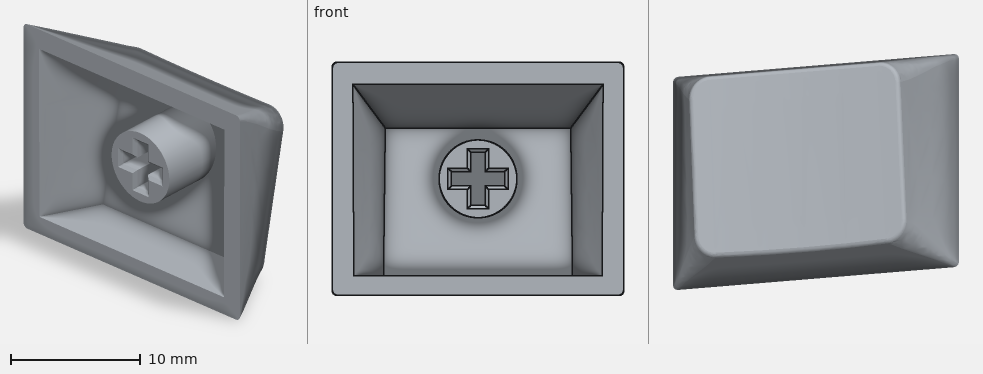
import cadquery as cq
import math

WIDTH = 22.5
HEIGHT = 18.0
WALL = 1.5

RIM_CORNER_RADIUS = 0.4
TOP_CORNER_RADIUS = 1.69
TOP_HALF_WIDTH = 8.21
TOP_UPPER_Z = 4.8
TOP_UPPER_Y = 8.85
TOP_SLOPE = 0.21
SECTION_COUNT = 5
DISH_RADIUS = 68.85
DISH_CENTRE_Y = 7.27
EDGE_FILLET = 0.34

OPENING_LOWER_HALF_WIDTH = 9.58
OPENING_UPPER_HALF_WIDTH = 9.65
FLOOR_LOWER_HALF_WIDTH = 7.3
FLOOR_UPPER_HALF_WIDTH = 7.15
OPENING_UPPER_Z = 7.3
FLOOR_UPPER_Z = 3.92
FLOOR_UPPER_Y = 7.15

STEM_DIAMETER = 6.0
STEM_FACE_Y = 1.01
CROSS_LENGTH = 4.1
CROSS_ARM_WIDTH = 1.1
CROSS_CHAMFER = 0.27
CHAMFER_ANGLE = 45.0

BOTTOM_Z = -HEIGHT / 2
CAVITY_LOWER_Z = BOTTOM_Z + WALL


def section_wire(lower_half_width, upper_half_width, lower, upper, radius=0):
    """Four-sided outline, optionally with round corners, between two (y, z) heights."""
    lower_y, lower_z = lower
    upper_y, upper_z = upper
    length = math.dist(lower, upper)
    plane = cq.Plane(
        origin=(0, lower_y, lower_z),
        xDir=(-1, 0, 0),
        normal=(0, upper_z - lower_z, lower_y - upper_y),
    )
    corners = [
        (-lower_half_width, 0),
        (lower_half_width, 0),
        (upper_half_width, length),
        (-upper_half_width, length),
    ]
    wire = cq.Workplane(plane).polyline(corners).close().val()
    if radius:
        wire = wire.fillet2D(radius, wire.Vertices())
    return wire


def blend(start, end, fraction):
    return start + (end - start) * fraction


def make_body():
    """Tapering body whose corner radius grows smoothly from the rim to the top."""
    top_lower_y = TOP_UPPER_Y - TOP_SLOPE * (TOP_UPPER_Z - BOTTOM_Z)
    wires = []
    for index in range(SECTION_COUNT):
        t = index / (SECTION_COUNT - 1)
        smooth = t * t * (3 - 2 * t)
        lower = (blend(0, top_lower_y, t), BOTTOM_Z)
        upper = (blend(0, TOP_UPPER_Y, t), blend(HEIGHT / 2, TOP_UPPER_Z, t))
        radius = blend(RIM_CORNER_RADIUS, TOP_CORNER_RADIUS, smooth)
        half_width = blend(WIDTH / 2, TOP_HALF_WIDTH, t)
        wires.append(section_wire(half_width, half_width, lower, upper, radius))
    return cq.Workplane(cq.Solid.makeLoft(wires))


def make_dish():
    """Large cylinder lying along the sloping top."""
    plane = cq.Plane(origin=(0, DISH_CENTRE_Y, 0), xDir=(1, 0, 0), normal=(0, TOP_SLOPE, 1))
    return cq.Workplane(plane).center(0, DISH_RADIUS).circle(DISH_RADIUS).extrude(WIDTH, both=True)


def make_cavity():
    floor_lower_y = FLOOR_UPPER_Y - TOP_SLOPE * (FLOOR_UPPER_Z - CAVITY_LOWER_Z)
    opening = section_wire(
        OPENING_LOWER_HALF_WIDTH,
        OPENING_UPPER_HALF_WIDTH,
        (0, CAVITY_LOWER_Z),
        (0, OPENING_UPPER_Z),
    )
    floor = section_wire(
        FLOOR_LOWER_HALF_WIDTH,
        FLOOR_UPPER_HALF_WIDTH,
        (floor_lower_y, CAVITY_LOWER_Z),
        (FLOOR_UPPER_Y, FLOOR_UPPER_Z),
    )
    return cq.Workplane(cq.Solid.makeLoft([opening, floor], True))


def make_cross(y, depth, margin=0, taper=0):
    """Cross-shaped tool starting at y and running towards +Y."""
    long_side = CROSS_LENGTH + 2 * margin
    short_side = CROSS_ARM_WIDTH + 2 * margin
    plane = cq.Workplane("XZ", origin=(0, y, 0))
    across = plane.rect(long_side, short_side).extrude(-depth, taper=taper)
    upright = plane.rect(short_side, long_side).extrude(-depth, taper=taper)
    return across.union(upright)


def make_stem():
    reach = FLOOR_UPPER_Y - STEM_FACE_Y
    stem = cq.Workplane("XZ", origin=(0, STEM_FACE_Y, 0)).circle(STEM_DIAMETER / 2).extrude(-reach)
    stem = stem.cut(make_cross(STEM_FACE_Y, reach))
    return stem.cut(make_cross(STEM_FACE_Y, CROSS_CHAMFER, CROSS_CHAMFER, CHAMFER_ANGLE))


body = make_body().cut(make_dish())
body = body.faces(">Y").edges().fillet(EDGE_FILLET)
cavity = make_cavity()
result = body.cut(cavity).union(make_stem().intersect(cavity))